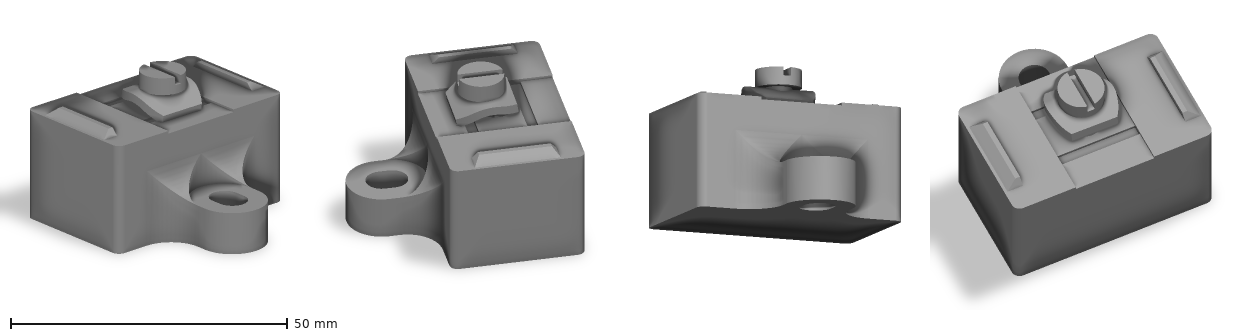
import cadquery as cq
import math

block_width = 25.0
block_length = 40.0
block_height = 21.0
corner_radius = 1.5
recess_length = 15.75
recess_depth = 0.5
recess_floor = block_height - recess_depth

groove_starts = (6.0, 17.0)
groove_width = 2.0
groove_depth = 0.5

well_diameter = 6.0
well_depth = 3.5
well_floor = recess_floor - well_depth

ridge_length = 16.0
ridge_height = 1.25
ridge_inner_y = 16.3
ridge_crest = 0.95
ridge_foot = 3.1
ridge_overlap = 0.2

ear_width = 13.0
ear_radius = ear_width / 2
ear_height = 8.0
ear_stretch = 2.0
ear_hole_width = 5.8
ear_near_x = block_width + ear_radius
ear_far_x = ear_near_x + ear_stretch
ear_middle_x = (ear_near_x + ear_far_x) / 2
flare_radius = ear_radius

screw_x = 15.0
screw_y = -0.4
screw_top = 27.95
head_diameter = 8.5
head_height = 3.3
head_bottom = screw_top - head_height
drive_slot_width = 1.5
drive_slot_depth = 1.6
shank_diameter = 5.0
shank_bottom = well_floor

plate_x = 15.2
plate_thickness = 1.6
plate_half_length = 5.75
plate_width = 13.0
plate_end_width = 9.2
bend_angle = 23.0
bend_half_length = 2.55
tilt_angle = 9.2
twist_angle = -0.8


def upright_slot(radius, height):
    """Slot-shaped column on the ear, standing on Z = 0."""
    return (
        cq.Workplane("XY")
        .center(ear_middle_x, 0)
        .slot2D(ear_stretch + 2 * radius, 2 * radius)
        .extrude(height)
    )


def make_block():
    block = (
        cq.Workplane("XY")
        .box(block_width, block_length, block_height, centered=(False, True, False))
        .edges("|Z")
        .fillet(corner_radius)
    )
    recess = (
        cq.Workplane("XY", origin=(0, 0, recess_floor))
        .box(block_width, recess_length, recess_depth, centered=(False, True, False))
    )
    block = block.cut(recess)
    for start in groove_starts:
        groove = (
            cq.Workplane("XY", origin=(start, 0, recess_floor - groove_depth))
            .box(groove_width, recess_length, groove_depth, centered=(False, True, False))
        )
        block = block.cut(groove)
    well = (
        cq.Workplane("XY", origin=(block_width / 2, 0, well_floor))
        .circle(well_diameter / 2)
        .extrude(well_depth)
    )
    return block.cut(well)


def make_ridge():
    """Ridge at the +Y end: upright inside, sloped outside, with 45 degree ends."""
    inner = ridge_inner_y
    crest_edge = inner + ridge_crest
    outer = inner + ridge_foot
    crest_z = block_height + ridge_height
    root_z = block_height - ridge_overlap
    left = (block_width - ridge_length) / 2
    right = left + ridge_length
    cross_section = (
        cq.Workplane("YZ", origin=(left, 0, 0))
        .polyline([
            (inner, root_z), (outer, root_z), (outer, block_height),
            (crest_edge, crest_z), (inner, crest_z),
        ])
        .close()
        .extrude(ridge_length)
    )
    side_shape = (
        cq.Workplane("XZ")
        .polyline([
            (left, root_z), (right, root_z), (right, block_height),
            (right - ridge_height, crest_z), (left + ridge_height, crest_z), (left, block_height),
        ])
        .close()
        .extrude(-block_length)
    )
    return cross_section.intersect(side_shape)


def make_flare():
    """Blend between ear and block: concave in plan on both sides and concave on top."""
    diagonal = flare_radius * math.sqrt(0.5)
    foot_y = ear_radius + flare_radius
    middle_x = ear_near_x - diagonal
    middle_y = foot_y - diagonal
    foot_z = ear_height + flare_radius
    plan = (
        cq.Workplane("XY")
        .moveTo(block_width, -foot_y)
        .threePointArc((middle_x, -middle_y), (ear_near_x, -ear_radius))
        .lineTo(ear_near_x, ear_radius)
        .threePointArc((middle_x, middle_y), (block_width, foot_y))
        .close()
        .extrude(foot_z)
    )
    elevation = (
        cq.Workplane("XZ", origin=(0, -foot_y, 0))
        .moveTo(block_width, 0)
        .lineTo(ear_near_x, 0)
        .lineTo(ear_near_x, ear_height)
        .threePointArc((middle_x, foot_z - diagonal), (block_width, foot_z))
        .close()
        .extrude(-2 * foot_y)
    )
    return plan.intersect(elevation)


def make_housing():
    ridge = make_ridge()
    seat_clearance = upright_slot(ear_radius, block_height).translate((0, 0, ear_height))
    ear = make_flare().cut(seat_clearance).union(upright_slot(ear_radius, ear_height))
    ear = ear.cut(upright_slot(ear_hole_width / 2, ear_height))
    return make_block().union(ridge).union(ridge.mirror("XZ")).union(ear)


def make_screw():
    shank = (
        cq.Workplane("XY", origin=(screw_x, screw_y, shank_bottom))
        .circle(shank_diameter / 2)
        .extrude(head_bottom - shank_bottom)
    )
    head = (
        cq.Workplane("XY", origin=(screw_x, screw_y, head_bottom))
        .circle(head_diameter / 2)
        .extrude(head_height)
    )
    drive_slot = (
        cq.Workplane("XY", origin=(screw_x, screw_y, screw_top - drive_slot_depth))
        .box(head_diameter, drive_slot_width, drive_slot_depth, centered=(True, True, False))
    )
    return head.cut(drive_slot).union(shank)


def make_clamp_plate():
    """Bent plate, modelled with the top of its bend at the origin and then rocked into place."""
    slope = math.radians(bend_angle)
    top_radius = bend_half_length / math.sin(slope)
    bottom_radius = top_radius - plate_thickness

    def wing_end_z(radius):
        bend_end_z = radius * math.cos(slope) - top_radius
        return bend_end_z - (plate_half_length - radius * math.sin(slope)) * math.tan(slope)

    bend_end_x = top_radius * math.sin(slope)
    bend_end_z = top_radius * math.cos(slope) - top_radius
    under_end_x = bottom_radius * math.sin(slope)
    under_end_z = bottom_radius * math.cos(slope) - top_radius
    profile = (
        cq.Workplane("XZ")
        .moveTo(-plate_half_length, wing_end_z(top_radius))
        .lineTo(-bend_end_x, bend_end_z)
        .threePointArc((0, 0), (bend_end_x, bend_end_z))
        .lineTo(plate_half_length, wing_end_z(top_radius))
        .lineTo(plate_half_length, wing_end_z(bottom_radius))
        .lineTo(under_end_x, under_end_z)
        .threePointArc((0, -plate_thickness), (-under_end_x, under_end_z))
        .lineTo(-plate_half_length, wing_end_z(bottom_radius))
        .close()
        .extrude(plate_width / 2, both=True)
    )
    end_y = plate_end_width / 2
    outline = (
        cq.Workplane("XY")
        .moveTo(-plate_half_length, -end_y)
        .threePointArc((0, -plate_width / 2), (plate_half_length, -end_y))
        .lineTo(plate_half_length, end_y)
        .threePointArc((0, plate_width / 2), (-plate_half_length, end_y))
        .close()
        .extrude(plate_half_length, both=True)
    )
    crown_lift = top_radius * (1 - math.cos(math.radians(tilt_angle)))
    return (
        profile.intersect(outline)
        .rotate((0, 0, 0), (0, 1, 0), tilt_angle)
        .rotate((0, 0, 0), (0, 0, 1), twist_angle)
        .translate((plate_x, screw_y, head_bottom - crown_lift))
    )


screw = make_screw()
clamp_plate = make_clamp_plate().cut(screw)
housing = make_housing().cut(screw).cut(clamp_plate)

result = cq.Compound.makeCompound([housing.val(), screw.val(), clamp_plate.val()])